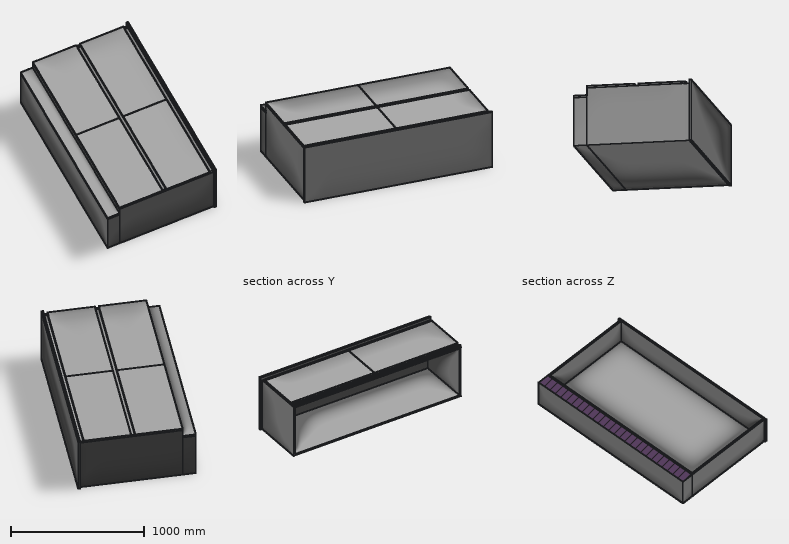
import cadquery as cq
total_width = 1515.0
total_depth = 898.0
total_height = 465.0

board = 17.0

worktop_edge_chamfer = 2.0

carcass_left = 17.0
carcass_width = 1488.0
carcass_height = 440.0

plinth_depth = 100.0
plinth_height = 385.0

columns = 2
rows = 2
grip_gap = 30.0
grip_bevel = 10.0
front_side_gap = 2.0

carcass_depth = total_depth - plinth_depth - board
carcass_back = plinth_depth + carcass_depth
inner_left = carcass_left + board
inner_width = carcass_width - 2 * board
row_pitch = carcass_depth / rows
column_pitch = carcass_width / columns
front_width = column_pitch - 2 * front_side_gap
front_depth = row_pitch - grip_gap


def box(x, y, z, width, depth, height):
    """Box with its lowest corner at (x, y, z)."""
    return cq.Workplane("XY").box(width, depth, height, centered=False).translate((x, y, z))


def make_worktop():
    """Slab standing on edge, with all its edges lightly broken."""
    slab = box(0, carcass_back, 0, total_width, board, total_height)
    return slab.edges().chamfer(worktop_edge_chamfer)


def make_carcass():
    """Case open towards the drawer fronts and the worktop."""
    case = box(carcass_left, plinth_depth, 0, carcass_width, carcass_depth, carcass_height)
    inner_depth = carcass_depth - board
    inner_height = carcass_height - board
    return case.cut(box(inner_left, plinth_depth + board, board, inner_width, inner_depth, inner_height))


def make_rail(row):
    """Board that closes the grip gap behind one row of fronts, flush with the carcass rim."""
    y = plinth_depth + (row + 1) * row_pitch - grip_gap
    return box(inner_left, y, carcass_height - board, inner_width, grip_gap, board)


def make_front(column, row):
    """Drawer front whose back edge is undercut as a finger grip."""
    x = carcass_left + column * column_pitch + front_side_gap
    y = plinth_depth + row * row_pitch
    front = box(x, y, carcass_height, front_width, front_depth, board)
    return front.edges(">Y and <Z").chamfer(grip_bevel)


def make_plinth():
    return box(carcass_left, 0, 0, carcass_width, plinth_depth, plinth_height - board)


def make_plinth_cover():
    return box(carcass_left, 0, plinth_height - board, carcass_width, plinth_depth, board)


worktop = make_worktop()
carcass = make_carcass()
rails = [make_rail(row).val() for row in range(rows)]
fronts = [make_front(column, row).val() for column in range(columns) for row in range(rows)]
plinth = make_plinth()
plinth_cover = make_plinth_cover()

result = cq.Compound.makeCompound(
    [worktop.val(), carcass.val(), *rails, *fronts, plinth.val(), plinth_cover.val()]
)